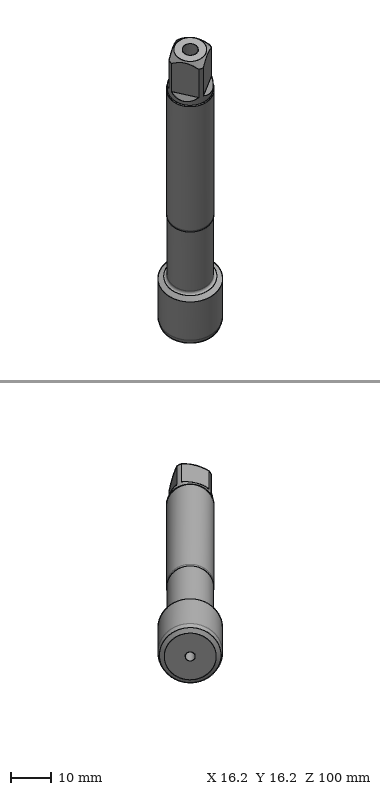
import cadquery as cq

total_length = 100.0
joint_z = 39.4

rod_dia = 12.0
rod_bore_dia = 4.0
rod_taper_length = 0.6
drive_dia = 11.5
drive_length = 14.3
drive_tip_dia = 8.2
square_width = 9.0
square_length = 11.9
square_slope_rise = 1.4
rod_chamfer = (rod_dia - drive_dia) / 2
tip_chamfer = 1.6

neck_dia = 11.7
neck_fillet = 0.8
holder_bore_dia = 2.5
head_dia = 16.2
head_length = 17.0
head_top_dia = neck_dia + 2 * neck_fillet
head_top_chamfer = 0.8
head_base_dia = 13.0
head_break_dia = 15.4
head_break_z = 0.7
head_taper_z = 2.2


def revolve_profile(points):
    """Revolve (radius, z) points around the Z axis."""
    return cq.Workplane("XZ").polyline(points).close().revolve(360, (0, 0), (0, 1))


def bore(diameter, bottom_z, top_z):
    """Cylinder on the Z axis used to cut a bore."""
    return cq.Workplane("XY").workplane(offset=bottom_z).circle(diameter / 2).extrude(top_z - bottom_z)


def square_drive():
    """Square prism whose lower end slopes outward to the round stock."""
    square_base_z = total_length - square_length
    slope_base_z = square_base_z - square_slope_rise
    slope = (
        cq.Workplane("XY").workplane(offset=slope_base_z).rect(rod_dia, rod_dia)
        .workplane(offset=square_slope_rise).rect(square_width, square_width)
        .loft(ruled=True)
    )
    prism = cq.Workplane("XY").box(
        square_width, square_width, square_length, centered=(True, True, False)
    ).translate((0, 0, square_base_z))
    stock_base = cq.Workplane("XY").workplane(offset=joint_z).rect(rod_dia, rod_dia)
    stock_base = stock_base.extrude(slope_base_z - joint_z)
    return prism.union(slope).union(stock_base)


def make_drive_rod():
    shoulder_z = total_length - drive_length
    stock = revolve_profile([
        (0, joint_z),
        (neck_dia / 2, joint_z),
        (rod_dia / 2, joint_z + rod_taper_length),
        (rod_dia / 2, shoulder_z - rod_chamfer),
        (drive_dia / 2, shoulder_z),
        (drive_dia / 2, total_length - tip_chamfer),
        (drive_tip_dia / 2, total_length),
        (0, total_length),
    ])
    return stock.intersect(square_drive()).cut(bore(rod_bore_dia, joint_z, total_length))


def make_holder():
    head = revolve_profile([
        (0, 0),
        (head_base_dia / 2, 0),
        (head_break_dia / 2, head_break_z),
        (head_dia / 2, head_taper_z),
        (head_dia / 2, head_length - head_top_chamfer),
        (head_top_dia / 2, head_length),
        (0, head_length),
    ])
    neck_radius = neck_dia / 2
    fillet_center_r = neck_radius + neck_fillet
    fillet_center_z = head_length + neck_fillet
    arc_offset = neck_fillet * 0.5 ** 0.5
    neck = (
        cq.Workplane("XZ")
        .moveTo(0, head_length)
        .lineTo(fillet_center_r, head_length)
        .threePointArc(
            (fillet_center_r - arc_offset, fillet_center_z - arc_offset),
            (neck_radius, fillet_center_z),
        )
        .lineTo(neck_radius, joint_z)
        .lineTo(0, joint_z)
        .close()
        .revolve(360, (0, 0), (0, 1))
    )
    return head.union(neck).cut(bore(holder_bore_dia, 0, joint_z))


drive_rod = make_drive_rod()
holder = make_holder()

result = cq.Compound.makeCompound([drive_rod.val(), holder.val()])